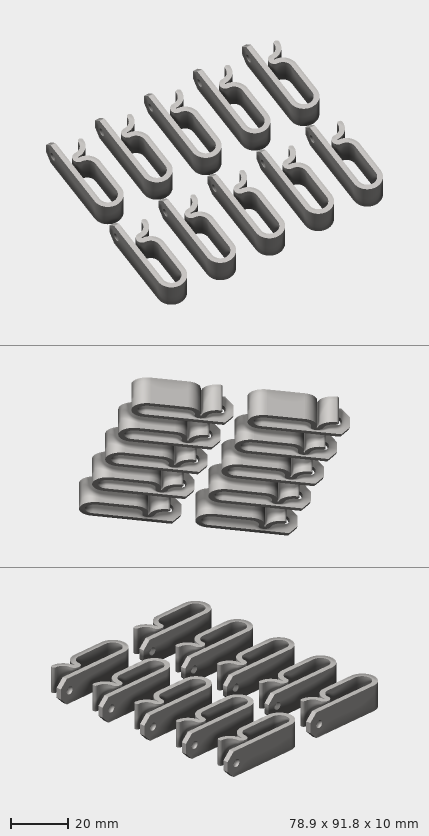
import cadquery as cq
import math

strip_thickness = 2.0
strip_width = 10.0

clip_length = 37.3
clip_depth = 11.0
bend_radius = clip_depth / 2
bend_inner_radius = bend_radius - strip_thickness
fold_inner_radius = 0.2
fold_outer_radius = fold_inner_radius + strip_thickness
lip_tip_x = 6.9
fold_x = lip_tip_x + bend_radius + fold_inner_radius
arm_start_x = fold_x + fold_inner_radius + bend_radius
return_bend_x = clip_length - bend_radius

corner_chamfer = 3.0
hole_diameter = 3.0
hole_x = 4.4

column_count = 2
row_count = 5
column_pitch = 41.6
row_pitch = 20.2


def arc_middle(center_x, radius, angle_degrees):
    """Point at an angle on an arc centred at half the clip depth."""
    angle = math.radians(angle_degrees)
    return (center_x + radius * math.cos(angle), bend_radius + radius * math.sin(angle))


def bent_strip():
    """Strip with a straight back, a return bend, a front arm and a V-shaped lip."""
    inner_top = clip_depth - strip_thickness
    profile = (
        cq.Workplane("XY")
        .moveTo(0, 0)
        .lineTo(return_bend_x, 0)
        .threePointArc((clip_length, bend_radius), (return_bend_x, clip_depth))
        .lineTo(arm_start_x, clip_depth)
        .threePointArc(
            arc_middle(arm_start_x, bend_radius, 135),
            (fold_x + fold_inner_radius, bend_radius),
        )
        .threePointArc(
            arc_middle(fold_x, fold_inner_radius, 270),
            (fold_x - fold_inner_radius, bend_radius),
        )
        .threePointArc(arc_middle(lip_tip_x, bend_radius, 45), (lip_tip_x, clip_depth))
        .threePointArc(
            (lip_tip_x - strip_thickness / 2, clip_depth - strip_thickness / 2),
            (lip_tip_x, inner_top),
        )
        .threePointArc(
            arc_middle(lip_tip_x, bend_inner_radius, 45),
            (fold_x - fold_outer_radius, bend_radius),
        )
        .threePointArc(
            arc_middle(fold_x, fold_outer_radius, 270),
            (fold_x + fold_outer_radius, bend_radius),
        )
        .threePointArc(
            arc_middle(arm_start_x, bend_inner_radius, 135),
            (arm_start_x, inner_top),
        )
        .lineTo(return_bend_x, inner_top)
        .threePointArc(
            arc_middle(return_bend_x, bend_inner_radius, 0),
            (return_bend_x, strip_thickness),
        )
        .lineTo(0, strip_thickness)
        .close()
    )
    return profile.extrude(strip_width)


def mounting_hole():
    """Cutter for the hole through the thickness of the back, at mid width."""
    return (
        cq.Workplane("XZ")
        .center(hole_x, strip_width / 2)
        .circle(hole_diameter / 2)
        .extrude(-strip_thickness)
    )


def make_clip():
    """One spring clip with its free back corners chamfered and its hole cut."""
    chamfered = bent_strip().faces("<X").edges("|Y").chamfer(corner_chamfer)
    return chamfered.cut(mounting_hole())


clip = make_clip()
clips = []
for column in range(column_count):
    for row in range(row_count):
        placed_clip = clip.translate((column * column_pitch, row * row_pitch, 0))
        clips.append(placed_clip.val())

result = cq.Compound.makeCompound(clips)